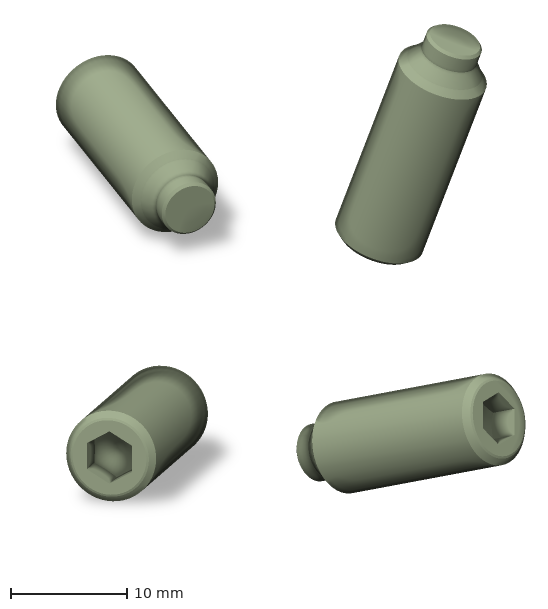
import cadquery as cq
import math

length = 21.6
body_radius = 4.0

face_radius = 3.28
bevel_radius = 3.48
bevel_length = 0.09
socket_chamfer = body_radius - bevel_radius

pin_radius = 2.5
pin_length = 1.62
pin_chamfer = 0.24
taper_length = 1.2
shoulder_chamfer = 0.6
pin_start = length - pin_length
taper_start = pin_start - taper_length
body_end = taper_start - shoulder_chamfer

hex_flats = 4.0
hex_depth = 2.5
drill_point_angle = 120.0


def make_body():
    """Revolve the half outline, given as (X, radius), around the X axis."""
    outline = [
        (0, 0),
        (0, face_radius),
        (bevel_length, bevel_radius),
        (bevel_length + socket_chamfer, body_radius),
        (body_end, body_radius),
        (taper_start, body_radius - shoulder_chamfer),
        (pin_start, pin_radius),
        (length - pin_chamfer, pin_radius),
        (length, pin_radius - pin_chamfer),
        (length, 0),
    ]
    return cq.Workplane("XY").polyline(outline).close().revolve(360, (0, 0, 0), (1, 0, 0))


def make_socket():
    """Hexagonal prism, corners up and down, ending in a cone as wide as its corners."""
    corner_radius = hex_flats / math.sqrt(3)
    cone_depth = corner_radius / math.tan(math.radians(drill_point_angle / 2))
    corners = []
    for index in range(6):
        angle = math.radians(90 + 60 * index)
        corners.append((corner_radius * math.cos(angle), corner_radius * math.sin(angle)))
    prism = cq.Workplane("YZ").polyline(corners).close().extrude(hex_depth + cone_depth)
    drill_outline = [
        (0, 0),
        (0, corner_radius),
        (hex_depth, corner_radius),
        (hex_depth + cone_depth, 0),
    ]
    drill = cq.Workplane("XY").polyline(drill_outline).close().revolve(360, (0, 0, 0), (1, 0, 0))
    return prism.intersect(drill)


result = make_body().cut(make_socket())